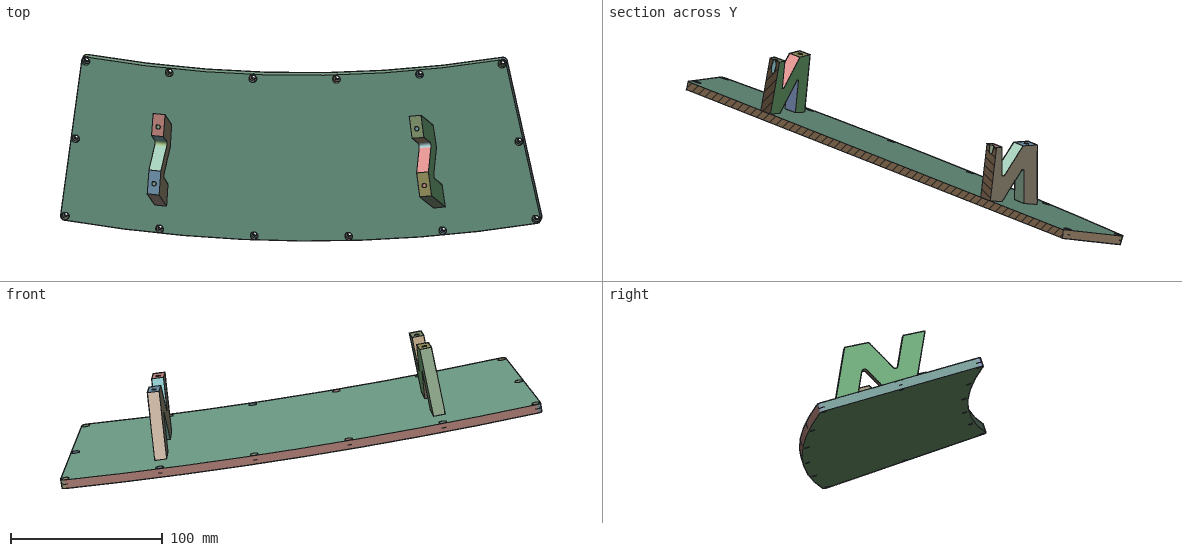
import cadquery as cq
import math

MID_RADIUS = 883.5
HOLE_RING_HALF_WIDTH = 54.3
HOLE_HALF_ANGLE = 9.65
EDGE_MARGIN = 3.02
PLATE_THICKNESS = 6.0
SCREW_HOLE_DIAMETER = 3.0
SCREW_HEAD_DIAMETER = 5.0
SCREW_HEAD_DEPTH = 3.2
HOLES_PER_ARC = 6

BRACKET_ANGLE = 5.8
BRACKET_THICKNESS = 8.0
BAR_WIDTH = 15.5
BAR_LEAN = 0.51
FOOT_PITCH = 41.3
FIRST_FOOT_START = -18.7
INNER_FILLET = 2.0

TOP_HEIGHT = 39.0
TOP_TILT = 5.0

TOP_HOLE_POSITIONS = (-28.3, 10.2)
TOP_HOLE_DIAMETER = 3.0
TOP_HOLE_DEPTH = 9.5

TURN_ABOUT_Z = -0.4
TURN_ABOUT_X = 17.6
TURN_ABOUT_Y = -9.2

OUTER_HOLE_RADIUS = MID_RADIUS + HOLE_RING_HALF_WIDTH
INNER_HOLE_RADIUS = MID_RADIUS - HOLE_RING_HALF_WIDTH


def ring_point(radius, degrees):
    """Point at a radius from the ring axis, at an angle from the plate's centre line."""
    angle = math.radians(degrees)
    return (radius * math.sin(angle), MID_RADIUS - radius * math.cos(angle))


def screw_hole_points():
    step = 2 * HOLE_HALF_ANGLE / (HOLES_PER_ARC - 1)
    points = []
    for index in range(HOLES_PER_ARC):
        degrees = -HOLE_HALF_ANGLE + index * step
        points.append(ring_point(OUTER_HOLE_RADIUS, degrees))
        points.append(ring_point(INNER_HOLE_RADIUS, degrees))
    points.append(ring_point(MID_RADIUS, -HOLE_HALF_ANGLE))
    points.append(ring_point(MID_RADIUS, HOLE_HALF_ANGLE))
    return points


def make_plate():
    outer_radius = OUTER_HOLE_RADIUS + EDGE_MARGIN
    inner_radius = INNER_HOLE_RADIUS - EDGE_MARGIN
    half_angle = HOLE_HALF_ANGLE + math.degrees(EDGE_MARGIN / MID_RADIUS)
    plate = (
        cq.Workplane("XY")
        .moveTo(*ring_point(outer_radius, -half_angle))
        .threePointArc(ring_point(outer_radius, 0), ring_point(outer_radius, half_angle))
        .lineTo(*ring_point(inner_radius, half_angle))
        .threePointArc(ring_point(inner_radius, 0), ring_point(inner_radius, -half_angle))
        .close()
        .extrude(-PLATE_THICKNESS)
        .edges("|Z")
        .fillet(EDGE_MARGIN)
    )
    return (
        plate.faces(">Z")
        .workplane(origin=(0, 0, 0))
        .pushPoints(screw_hole_points())
        .cboreHole(SCREW_HOLE_DIAMETER, SCREW_HEAD_DIAMETER, SCREW_HEAD_DEPTH)
    )


def top_point(foot_x, lean):
    """Point where a bar edge that starts at foot_x and leans by x per height meets the top plane."""
    slope = math.tan(math.radians(TOP_TILT))
    height = (TOP_HEIGHT + slope * foot_x) / (1 - slope * lean)
    return (foot_x + lean * height, height)


def bracket_outline():
    """Leg, diagonal and leg of equal width; x is the outward radial distance, y the height."""
    first_foot_end = FIRST_FOOT_START + BAR_WIDTH
    second_foot_start = FIRST_FOOT_START + FOOT_PITCH
    second_foot_end = second_foot_start + BAR_WIDTH
    valley = ((FIRST_FOOT_START + first_foot_end) / 2, BAR_WIDTH / 2 / BAR_LEAN)
    peak_half_gap = (second_foot_start - first_foot_end) / 2
    peak = (first_foot_end + peak_half_gap, peak_half_gap / BAR_LEAN)
    return [
        (FIRST_FOOT_START, 0),
        top_point(FIRST_FOOT_START, -BAR_LEAN),
        top_point(first_foot_end, -BAR_LEAN),
        valley,
        top_point(FIRST_FOOT_START, BAR_LEAN),
        top_point(second_foot_end, -BAR_LEAN),
        (second_foot_end, 0),
        (second_foot_start, 0),
        peak,
        (first_foot_end, 0),
    ]


def make_bracket(degrees):
    profile = cq.Workplane(cq.Plane(origin=(0, 0, 0), xDir=(0, -1, 0), normal=(-1, 0, 0)))
    bar = profile.polyline(bracket_outline()).close().extrude(BRACKET_THICKNESS / 2, both=True)
    near_mid_height = cq.selectors.BoxSelector(
        (-BRACKET_THICKNESS, -MID_RADIUS, TOP_HEIGHT / 4),
        (BRACKET_THICKNESS, MID_RADIUS, TOP_HEIGHT * 3 / 4),
    )
    bar = bar.edges("|X").edges(near_mid_height).fillet(INNER_FILLET)

    for position in TOP_HOLE_POSITIONS:
        top_centre = (0, -position, top_point(position, 0)[1])
        hole = (
            cq.Workplane("XY", origin=top_centre)
            .circle(TOP_HOLE_DIAMETER / 2)
            .extrude(TOP_HOLE_DEPTH, both=True)
        )
        bar = bar.cut(hole)

    ring_axis = ((0, MID_RADIUS, 0), (0, MID_RADIUS, 1))
    return bar.rotate(*ring_axis, degrees)


def tilt(body):
    origin = (0, 0, 0)
    return (
        body.rotate(origin, (0, 0, 1), TURN_ABOUT_Z)
        .rotate(origin, (1, 0, 0), TURN_ABOUT_X)
        .rotate(origin, (0, 1, 0), TURN_ABOUT_Y)
    )


plate = tilt(make_plate())
brackets = [tilt(make_bracket(degrees)) for degrees in (-BRACKET_ANGLE, BRACKET_ANGLE)]
result = cq.Compound.makeCompound([plate.val(), *[bracket.val() for bracket in brackets]])